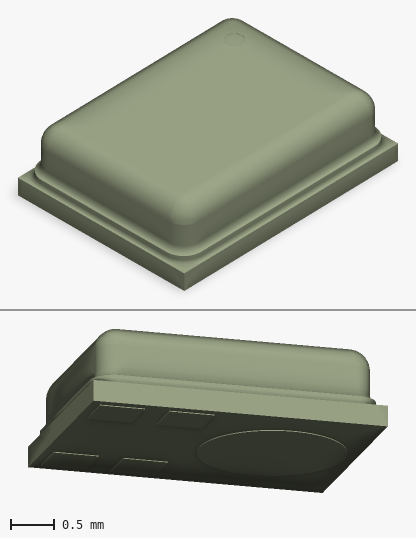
import cadquery as cq
import math

BASE_X = 2.65
BASE_Y = 3.5
BASE_THICKNESS = 0.25

HEIGHT = 1.0

FOOT_INSET = 0.005
FOOT_RADIUS = 0.05
RIM_TOP = 0.105
FLARE_RADIUS = 0.09
WALL_INSET = 0.122
WALL_CORNER_RADIUS = 0.215
DOME_RADIUS = 0.25

MARK_DIAMETER = 0.25
MARK_DEPTH = 0.005
MARK_X = -0.705
MARK_Y = 1.155

PAD_HEIGHT = 0.01
PAD_SIZE = 0.532
PAD_OUTER_X = 1.205
PAD_ROWS_Y = (1.37, 0.542)
ROUND_PAD_DIAMETER = 1.722
ROUND_PAD_Y = -0.763

base_top = PAD_HEIGHT + BASE_THICKNESS
wall_x = BASE_X - 2 * WALL_INSET
wall_y = BASE_Y - 2 * WALL_INSET


def base_plate():
    plate = cq.Workplane("XY").box(BASE_X, BASE_Y, BASE_THICKNESS, centered=(True, True, False))
    return plate.translate((0, 0, PAD_HEIGHT))


def wall_outline(z):
    """Rounded rectangle of the lid wall at height z."""
    outline = cq.Sketch().rect(wall_x, wall_y).vertices().fillet(WALL_CORNER_RADIUS)
    return cq.Workplane("XY").workplane(offset=z).placeSketch(outline)


def lid_can():
    can = wall_outline(base_top).extrude(HEIGHT - base_top)
    return can.faces(">Z").edges().fillet(DOME_RADIUS)


def lid_rim():
    """Rim profile carried around the lid wall: foot fillet, short upright, then flare."""
    wall = wall_x / 2
    toe = BASE_X / 2 - FOOT_INSET
    rim = toe - FOOT_RADIUS
    inside = wall - WALL_CORNER_RADIUS / 2
    rim_top = base_top + RIM_TOP

    flare_angle = math.acos(1 - (rim - wall) / FLARE_RADIUS)
    flare_top = rim_top + FLARE_RADIUS * math.sin(flare_angle)
    flare_mid = (
        wall + FLARE_RADIUS * (1 - math.cos(flare_angle / 2)),
        flare_top - FLARE_RADIUS * math.sin(flare_angle / 2),
    )
    foot_offset = FOOT_RADIUS * (1 - math.sqrt(0.5))

    profile = (
        cq.Workplane("XZ")
        .moveTo(inside, base_top)
        .lineTo(toe, base_top)
        .threePointArc((rim + foot_offset, base_top + foot_offset), (rim, base_top + FOOT_RADIUS))
        .lineTo(rim, rim_top)
        .threePointArc(flare_mid, (wall, flare_top))
        .lineTo(inside, flare_top)
        .close()
    )

    corner_x = wall_x / 2 - WALL_CORNER_RADIUS
    corner_y = wall_y / 2 - WALL_CORNER_RADIUS
    path = cq.Workplane("XY").workplane(offset=base_top).moveTo(wall, 0)
    path = path.lineTo(wall, corner_y)
    path = path.radiusArc((corner_x, wall_y / 2), -WALL_CORNER_RADIUS)
    path = path.lineTo(-corner_x, wall_y / 2)
    path = path.radiusArc((-wall, corner_y), -WALL_CORNER_RADIUS)
    path = path.lineTo(-wall, -corner_y)
    path = path.radiusArc((-corner_x, -wall_y / 2), -WALL_CORNER_RADIUS)
    path = path.lineTo(corner_x, -wall_y / 2)
    path = path.radiusArc((wall, -corner_y), -WALL_CORNER_RADIUS)
    path = path.close()
    return profile.sweep(path)


def pin_one_mark():
    mark = cq.Workplane("XY").workplane(offset=HEIGHT - MARK_DEPTH)
    return mark.center(MARK_X, MARK_Y).circle(MARK_DIAMETER / 2).extrude(MARK_DEPTH)


def solder_pads():
    pad_x = PAD_OUTER_X - PAD_SIZE / 2
    centres = [(side * pad_x, y) for side in (-1, 1) for y in PAD_ROWS_Y]
    square_pads = cq.Workplane("XY").pushPoints(centres).rect(PAD_SIZE, PAD_SIZE).extrude(PAD_HEIGHT)
    round_pad = cq.Workplane("XY").center(0, ROUND_PAD_Y).circle(ROUND_PAD_DIAMETER / 2).extrude(PAD_HEIGHT)
    return square_pads.union(round_pad)


result = base_plate().union(lid_can()).union(lid_rim()).union(solder_pads()).cut(pin_one_mark())